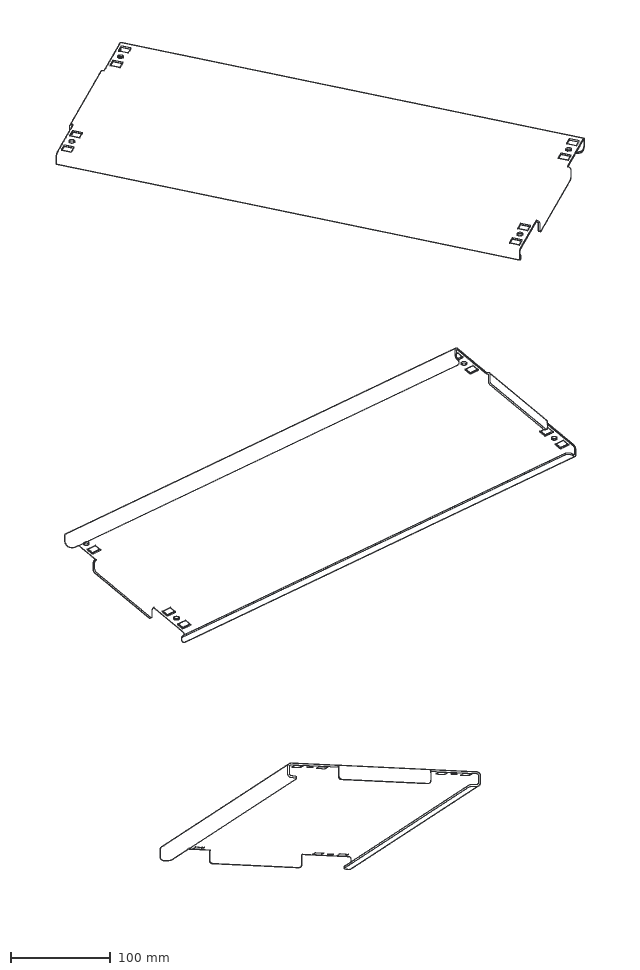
import cadquery as cq

overall_length = 499.0
overall_width = 200.0
height = 15.0
thickness = 2.0
bend_radius = 4.0

panel_length = overall_length - 2 * bend_radius
lip_width = 10.5
lip_corner_radius = 6.0

tab_width = 95.5
tab_corner_radius = 3.0

hole_x = 237.5
round_hole_y = 75.0
round_hole_diameter = 6.0
square_hole_pitch = 25.5
square_hole_length = 10.5
square_hole_width = 9.0

inner_radius = bend_radius - thickness
half_width = overall_width / 2
half_length = overall_length / 2
lip_edge = half_width - lip_width


def make_panel():
    """Flat top with both long edges folded into a C section."""
    outer = (
        cq.Workplane("XY")
        .box(panel_length, overall_width, height, centered=(True, True, False))
        .edges("|X")
        .fillet(bend_radius)
    )
    hollow = (
        cq.Workplane("XY")
        .workplane(offset=thickness)
        .box(
            panel_length,
            overall_width - 2 * thickness,
            height - 2 * thickness,
            centered=(True, True, False),
        )
        .edges("|X")
        .fillet(inner_radius)
    )
    lip_gap = cq.Workplane("XY").box(
        panel_length, 2 * lip_edge, thickness, centered=(True, True, False)
    )
    channel = outer.cut(hollow).cut(lip_gap)
    lip_corners = cq.selectors.BoxSelector(
        (-half_length, -lip_edge - thickness, -thickness),
        (half_length, lip_edge + thickness, 2 * thickness),
    )
    return channel.edges("|Z").edges(lip_corners).fillet(lip_corner_radius)


def make_end_tab(side):
    """Tab bent down from the panel end; side is -1 or +1 along X."""
    bend_start = half_length - bend_radius
    diagonal = 0.5**0.5
    bend_center_z = height - bend_radius
    tab = (
        cq.Workplane("XZ")
        .moveTo(bend_start, height)
        .threePointArc(
            (bend_start + bend_radius * diagonal, bend_center_z + bend_radius * diagonal),
            (half_length, bend_center_z),
        )
        .lineTo(half_length, 0)
        .lineTo(half_length - thickness, 0)
        .lineTo(half_length - thickness, bend_center_z)
        .threePointArc(
            (bend_start + inner_radius * diagonal, bend_center_z + inner_radius * diagonal),
            (bend_start, height - thickness),
        )
        .close()
        .extrude(tab_width / 2, both=True)
    )
    rounded_blank = (
        cq.Workplane("XY")
        .box(2 * overall_length, tab_width, height, centered=(True, True, False))
        .edges("|X and <Z")
        .fillet(tab_corner_radius)
    )
    tab = tab.intersect(rounded_blank)
    return tab if side > 0 else tab.mirror("YZ")


def make_corner_holes():
    """Round hole between two square holes, cut through the top at each corner."""
    depth = bend_radius
    square_offset = square_hole_pitch / 2
    corners = [(x, y) for x in (-hole_x, hole_x) for y in (-round_hole_y, round_hole_y)]
    squares = [(x, y + shift) for x, y in corners for shift in (-square_offset, square_offset)]
    top = cq.Workplane("XY").workplane(offset=height)
    round_cuts = top.pushPoints(corners).circle(round_hole_diameter / 2).extrude(-depth)
    square_cuts = (
        top.pushPoints(squares).rect(square_hole_length, square_hole_width).extrude(-depth)
    )
    return round_cuts.union(square_cuts)


shelf = make_panel()
for side in (-1, 1):
    shelf = shelf.union(make_end_tab(side))
result = shelf.cut(make_corner_holes())